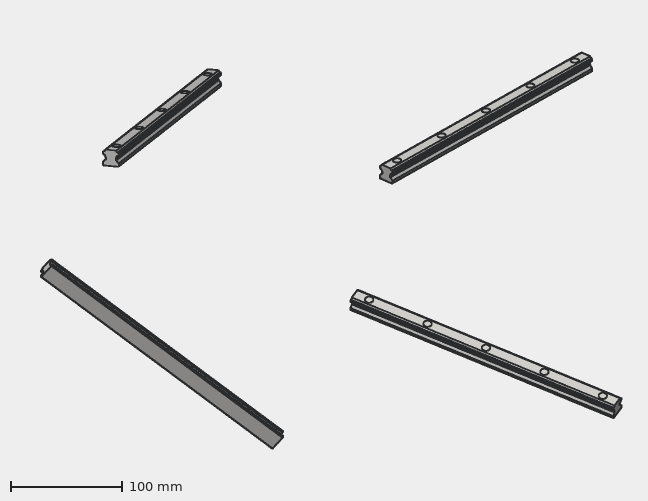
import cadquery as cq

length = 270.0
width = 15.0
height = 15.0

foot_height = 3.2
waist_bottom = 6.0
waist_top = 7.8
neck_top = 8.6
lip_bottom = 10.3
lip_top = 13.5
race_top = 14.8

lip_bevel_width = 0.8
lip_bevel_height = 0.95
race_width = 1.48
race_sag = 0.4
foot_chamfer = 0.5

half_width = width / 2
half_lip = half_width - lip_bevel_width
half_neck = half_lip - race_width
half_waist = 4.5

cap_count = 5
cap_pitch = length / (cap_count - 0.5)
cap_diameter = 7.5
cap_recess = 0.3

half_section = (
    cq.Workplane("XZ")
    .lineTo(half_width - foot_chamfer, 0)
    .lineTo(half_width, foot_chamfer)
    .lineTo(half_width, foot_height)
    .lineTo(half_neck, waist_bottom)
    .lineTo(half_waist, waist_bottom)
    .lineTo(half_waist, waist_top)
    .lineTo(half_neck, waist_top)
    .lineTo(half_neck, neck_top)
    .sagittaArc((half_lip, lip_bottom), race_sag)
    .lineTo(half_width, lip_bottom + lip_bevel_height)
    .lineTo(half_width, lip_top - lip_bevel_height)
    .lineTo(half_lip, lip_top)
    .sagittaArc((half_neck, race_top), race_sag)
    .lineTo(half_neck, height)
    .lineTo(0, height)
    .close()
)
half_rail = half_section.extrude(length / 2, both=True)
rail = half_rail.union(half_rail.mirror("YZ"))

recesses = (
    cq.Workplane("XY", origin=(0, 0, height - cap_recess))
    .rarray(2.7, cap_pitch, 1, cap_count)
    .circle(cap_diameter / 2)
    .extrude(cap_recess)
)
result = rail.cut(recesses)